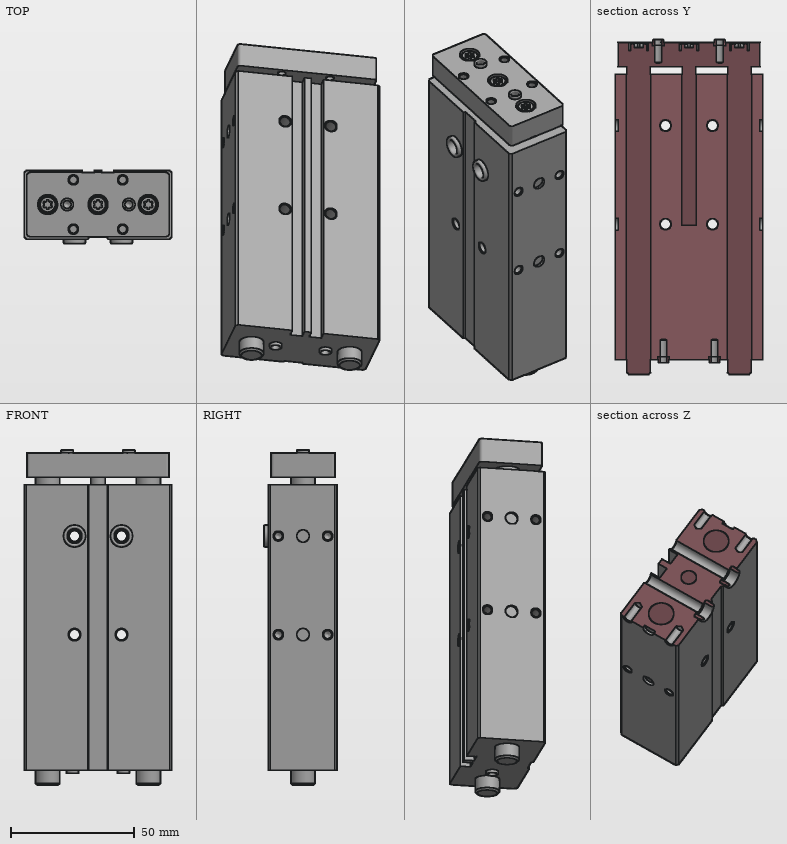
import cadquery as cq
import math


rod_tail = 6.0
housing_height = 116.0
plate_gap = 3.0
plate_thickness = 10.0
housing_bottom = rod_tail
housing_top = housing_bottom + housing_height
plate_bottom = housing_top + plate_gap
plate_top = plate_bottom + plate_thickness

housing_width = 60.0
housing_front = -14.2
housing_back = 13.9
housing_edge_cut = 1.0
front_groove_width = 8.2
front_groove_depth = 0.8
front_groove_side_run = 0.4
slot_width = 5.0
slot_depth = 4.1
slot_offset = 4.0

plate_width = 57.7
plate_depth = 26.0
plate_edge_radius = 1.2
guide_rod_diameter = 10.0
guide_rod_offset = 20.4
guide_rod_chamfer = 0.8
piston_rod_diameter = 6.0
piston_rod_reach = 61.2
screw_pocket_diameter = 8.0
screw_pocket_depth = 3.3
screw_head_diameter = 7.0
screw_head_height = 2.9
screw_head_chamfer = 0.4
socket_core_diameter = 2.7
socket_lobe_diameter = 1.0
socket_lobe_offset = 1.5
socket_depth = 1.6
socket_lobes = 6

thread_diameter = 3.3
thread_mouth = 4.1
thread_depth = 8.0
thread_offset = 10.0
tip_angle = 118
cross_hole_diameter = 4.4
cross_hole_mouth = 5.0
cross_hole_offset = 9.5
upper_hole_height = 101.1
hole_row_spacing = 40.0
hole_rows = [upper_hole_height, upper_hole_height - hole_row_spacing]

small_sleeve_outer = 5.0
small_sleeve_inner = thread_diameter
small_sleeve_length = 2.5
small_sleeve_projection = 1.2
large_sleeve_outer = 9.0
large_sleeve_inner = 6.0
large_sleeve_length = 4.1
large_sleeve_projection = 1.8
plate_sleeve_offset = 12.5
bottom_sleeve_offset = 10.3

LEFT_RIGHT = (-1, 1)
UP = cq.Vector(0, 0, 1)
DOWN = cq.Vector(0, 0, -1)
BACKWARD = cq.Vector(0, 1, 0)
FORWARD = cq.Vector(0, -1, 0)
INWARD_FROM_LEFT = cq.Vector(1, 0, 0)
INWARD_FROM_RIGHT = cq.Vector(-1, 0, 0)


def cylinder(diameter, length, start, direction):
    return cq.Workplane(cq.Solid.makeCylinder(diameter / 2, length, cq.Vector(*start), direction))


def cone(start_diameter, end_diameter, length, start, direction):
    return cq.Workplane(
        cq.Solid.makeCone(start_diameter / 2, end_diameter / 2, length, cq.Vector(*start), direction)
    )


def countersink(mouth, diameter, start, direction):
    """45-degree entry cone from the mouth diameter down to the hole diameter."""
    return cone(mouth, diameter, (mouth - diameter) / 2, start, direction)


def blind_hole(diameter, depth, start, direction):
    """Drilled hole that ends in a conical tip."""
    tip_start = cq.Vector(*start) + direction * depth
    tip_height = diameter / 2 / math.tan(math.radians(tip_angle / 2))
    tip = cone(diameter, 0, tip_height, tip_start.toTuple(), direction)
    return cylinder(diameter, depth, start, direction).union(tip)


def sleeve(outer, inner, length, projection, face_point, outward):
    """Ring that stands out of a face by the projection; the rest sits in a matching recess.

    The free end is fully rounded across the wall.
    """
    round_radius = (outer - inner) / 4
    wall_centre_radius = (outer + inner) / 4
    plain_length = length - round_radius
    start = cq.Vector(*face_point) - outward * (length - projection)
    round_centre = start + outward * plain_length
    ring = cylinder(outer, plain_length, start.toTuple(), outward)
    ring = ring.cut(cylinder(inner, plain_length, start.toTuple(), outward))
    lip = cq.Solid.makeTorus(wall_centre_radius, round_radius, round_centre, outward)
    return ring.union(cq.Workplane(lip))


def sleeve_points(offset, y, z):
    return [(side * offset, y, z) for side in LEFT_RIGHT]


plate_sleeve_points = sleeve_points(plate_sleeve_offset, 0, plate_top)
bottom_sleeve_points = sleeve_points(bottom_sleeve_offset, 0, housing_bottom)
front_sleeve_points = sleeve_points(cross_hole_offset, housing_front, upper_hole_height)


def small_sleeve_seat(point, inward):
    return cylinder(small_sleeve_outer, small_sleeve_length - small_sleeve_projection, point, inward)


def housing_block():
    depth = housing_back - housing_front
    block = (
        cq.Workplane("XY", origin=(0, (housing_front + housing_back) / 2, housing_bottom))
        .rect(housing_width, depth)
        .extrude(housing_height)
    )
    return block.edges("|Z").chamfer(housing_edge_cut)


def front_groove():
    mouth = front_groove_width / 2
    floor = mouth - front_groove_side_run
    floor_y = housing_front + front_groove_depth
    return (
        cq.Workplane("XY", origin=(0, 0, housing_bottom))
        .polyline([(-mouth, housing_front), (mouth, housing_front), (floor, floor_y), (-floor, floor_y)])
        .close()
        .extrude(housing_height)
    )


def sensor_slots():
    slot_centres = [(side * slot_offset, housing_back - slot_depth / 2) for side in LEFT_RIGHT]
    return (
        cq.Workplane("XY", origin=(0, 0, housing_bottom))
        .pushPoints(slot_centres)
        .rect(slot_width, slot_depth)
        .extrude(housing_height)
    )


def cut_rod_bores(body):
    for side in LEFT_RIGHT:
        start = (side * guide_rod_offset, 0, housing_bottom)
        body = body.cut(cylinder(guide_rod_diameter, housing_height, start, UP))
    return body.cut(cylinder(piston_rod_diameter, piston_rod_reach, (0, 0, housing_top), DOWN))


def cut_cross_holes(body):
    """Front-to-back holes; the upper pair also seats the large sleeves."""
    for z in hole_rows:
        for side in LEFT_RIGHT:
            x = side * cross_hole_offset
            start = (x, housing_front, z)
            back = (x, housing_back, z)
            body = body.cut(cylinder(cross_hole_diameter, housing_back - housing_front, start, BACKWARD))
            body = body.cut(countersink(cross_hole_mouth, cross_hole_diameter, start, BACKWARD))
            body = body.cut(countersink(cross_hole_mouth, cross_hole_diameter, back, FORWARD))
    seat_depth = large_sleeve_length - large_sleeve_projection
    for point in front_sleeve_points:
        seat_floor = (point[0], housing_front + seat_depth, point[2])
        body = body.cut(cylinder(large_sleeve_outer, seat_depth, point, BACKWARD))
        body = body.cut(countersink(cross_hole_mouth, cross_hole_diameter, seat_floor, BACKWARD))
    return body


def cut_side_holes(body):
    """Two threads with an empty small-sleeve seat between them, in two rows on both sides."""
    half_width = housing_width / 2
    for face_x, inward in ((-half_width, INWARD_FROM_LEFT), (half_width, INWARD_FROM_RIGHT)):
        for z in hole_rows:
            body = body.cut(small_sleeve_seat((face_x, 0, z), inward))
            for side in LEFT_RIGHT:
                start = (face_x, side * thread_offset, z)
                body = body.cut(blind_hole(thread_diameter, thread_depth, start, inward))
                body = body.cut(countersink(thread_mouth, thread_diameter, start, inward))
    return body


def make_housing():
    body = housing_block().cut(front_groove()).cut(sensor_slots())
    body = cut_rod_bores(body)
    body = cut_cross_holes(body)
    body = cut_side_holes(body)
    for point in bottom_sleeve_points:
        body = body.cut(small_sleeve_seat(point, UP))
        body = body.cut(blind_hole(thread_diameter, thread_depth, point, UP))
    return body


def guide_rod(x):
    rod = cylinder(guide_rod_diameter, plate_bottom, (x, 0, 0), UP)
    return rod.faces("<Z").chamfer(guide_rod_chamfer)


def screw_head(x):
    seat_z = plate_top - screw_pocket_depth
    head_top = seat_z + screw_head_height
    head = cylinder(screw_head_diameter, screw_head_height, (x, 0, seat_z), UP)
    head = head.faces(">Z").edges().chamfer(screw_head_chamfer)
    socket = cylinder(socket_core_diameter, socket_depth, (x, 0, head_top), DOWN)
    for lobe in range(socket_lobes):
        angle = math.pi / 2 + lobe * 2 * math.pi / socket_lobes
        lobe_x = x + socket_lobe_offset * math.cos(angle)
        lobe_y = socket_lobe_offset * math.sin(angle)
        socket = socket.union(cylinder(socket_lobe_diameter, socket_depth, (lobe_x, lobe_y, head_top), DOWN))
    return head.cut(socket)


def yoke_plate():
    plate = (
        cq.Workplane("XY", origin=(0, 0, plate_bottom))
        .rect(plate_width, plate_depth)
        .extrude(plate_thickness)
        .edges("|Z")
        .fillet(plate_edge_radius)
    )
    for x_side in LEFT_RIGHT:
        for y_side in LEFT_RIGHT:
            start = (x_side * thread_offset, y_side * thread_offset, plate_top)
            plate = plate.cut(cylinder(thread_diameter, plate_thickness, start, DOWN))
            plate = plate.cut(countersink(thread_mouth, thread_diameter, start, DOWN))
    for point in plate_sleeve_points:
        plate = plate.cut(small_sleeve_seat(point, DOWN))
        plate = plate.cut(blind_hole(thread_diameter, thread_depth, point, DOWN))
    return plate


def make_yoke():
    body = yoke_plate()
    for x in (-guide_rod_offset, 0, guide_rod_offset):
        body = body.cut(cylinder(screw_pocket_diameter, screw_pocket_depth, (x, 0, plate_top), DOWN))
        body = body.union(screw_head(x))
    for side in LEFT_RIGHT:
        body = body.union(guide_rod(side * guide_rod_offset))
    piston_rod = cylinder(piston_rod_diameter, plate_gap + piston_rod_reach, (0, 0, plate_bottom), DOWN)
    return body.union(piston_rod)


def small_sleeve(point, outward):
    return sleeve(
        small_sleeve_outer,
        small_sleeve_inner,
        small_sleeve_length,
        small_sleeve_projection,
        point,
        outward,
    )


def large_sleeve(point):
    return sleeve(
        large_sleeve_outer,
        large_sleeve_inner,
        large_sleeve_length,
        large_sleeve_projection,
        point,
        FORWARD,
    )


housing = make_housing()
yoke = make_yoke()
plate_sleeves = [small_sleeve(point, UP).val() for point in plate_sleeve_points]
bottom_sleeves = [small_sleeve(point, DOWN).val() for point in bottom_sleeve_points]
front_sleeves = [large_sleeve(point).val() for point in front_sleeve_points]

result = cq.Compound.makeCompound(
    [housing.val(), yoke.val(), *plate_sleeves, *bottom_sleeves, *front_sleeves]
)